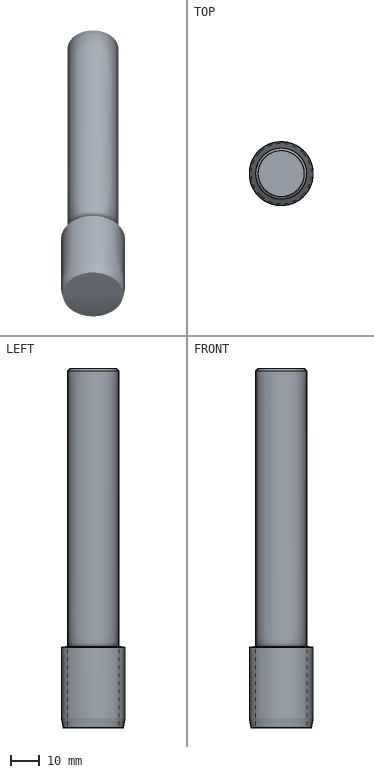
import cadquery as cq

total_length = 125.0
pin_diameter = 17.8
pin_chamfer = 0.9
sleeve_diameter = 22.2
sleeve_length = 28.4
sleeve_top_rise = 0.4
lead_in_length = 3.4
lead_in_depth = 0.6

pin_radius = pin_diameter / 2
sleeve_radius = sleeve_diameter / 2


def make_pin():
    """Round pin running the full length, chamfered at its upper end."""
    return (
        cq.Workplane("XY")
        .circle(pin_radius)
        .extrude(total_length)
        .faces(">Z")
        .chamfer(pin_chamfer)
    )


def make_sleeve():
    """Sleeve around the foot of the pin, with a tapered foot and a sloping top."""
    half_section = [
        (pin_radius, 0),
        (sleeve_radius - lead_in_depth, 0),
        (sleeve_radius, lead_in_length),
        (sleeve_radius, sleeve_length - sleeve_top_rise),
        (pin_radius, sleeve_length),
    ]
    return (
        cq.Workplane("XZ")
        .polyline(half_section)
        .close()
        .revolve(360, (0, 0), (0, 1))
    )


pin = make_pin()
sleeve = make_sleeve()

result = cq.Compound.makeCompound([pin.val(), sleeve.val()])